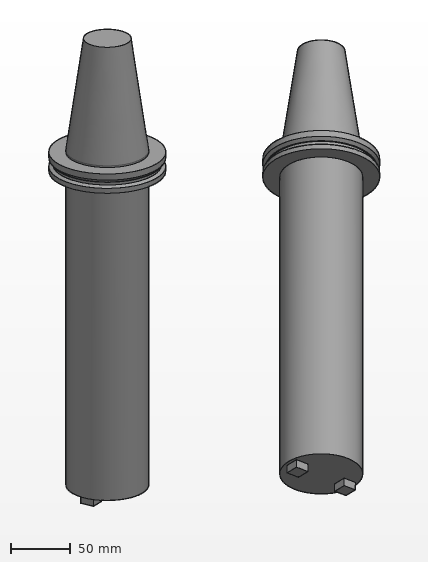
import cadquery as cq

gauge_diameter = 69.85
taper_length = 101.6
taper_ratio = 7 / 24
small_diameter = gauge_diameter - taper_length * taper_ratio

flange_diameter = 98.43
collar_height = 1.5
flange_thickness = 17.55
upper_rim_thickness = 5.6
lower_rim_thickness = 4.5
groove_depth = 3.5
upper_flank_height = 2.9
upper_flank_depth = 2.3
lower_flank_height = 1.6

body_diameter = 69.85
total_height = 412.8

key_height = 7.2
key_width = 12.7
key_inner = 19.5
key_outer = 31.7

flange_top = -collar_height
flange_bottom = flange_top - flange_thickness
key_bottom = taper_length - total_height
body_bottom = key_bottom + key_height


def turned_body():
    """Taper, collar, grooved flange and cylinder as one revolved profile."""
    gauge_radius = gauge_diameter / 2
    flange_radius = flange_diameter / 2
    body_radius = body_diameter / 2
    groove_radius = flange_radius - groove_depth
    groove_top = flange_top - upper_rim_thickness
    groove_bottom = flange_bottom + lower_rim_thickness
    ledge = groove_top - upper_flank_height
    profile = [
        (0, taper_length),
        (small_diameter / 2, taper_length),
        (gauge_radius, 0),
        (gauge_radius, flange_top),
        (flange_radius, flange_top),
        (flange_radius, groove_top),
        (flange_radius - upper_flank_depth, ledge),
        (groove_radius, ledge),
        (groove_radius, groove_bottom + lower_flank_height),
        (flange_radius, groove_bottom),
        (flange_radius, flange_bottom),
        (body_radius, flange_bottom),
        (body_radius, body_bottom),
        (0, body_bottom),
    ]
    return cq.Workplane("XZ").polyline(profile).close().revolve(360, (0, 0), (0, 1))


def drive_key(side):
    """One rectangular key; side is +1 or -1 along Y."""
    key_length = key_outer - key_inner
    key_center = side * (key_inner + key_outer) / 2
    return (
        cq.Workplane("XY", origin=(0, key_center, body_bottom))
        .rect(key_width, key_length)
        .extrude(-key_height)
    )


result = turned_body()
for side in (-1, 1):
    result = result.union(drive_key(side))